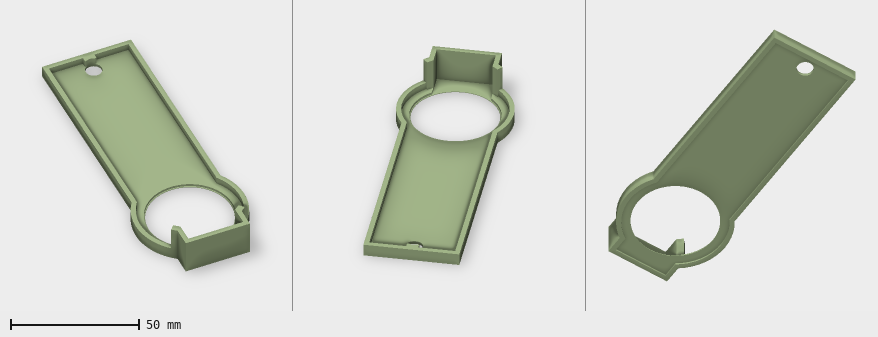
import cadquery as cq
import math

total_length = 124.75
total_height = 15.0
rim_height = 5.0
wall = 2.0

floor_top = 2.0
step_top = 1.0
recess_depth = 0.75

ring_radius = 23.13
step_radius = 18.0
opening_radius = 17.5

plate_width = 38.0
ring_to_box_end = 26.5
plate_end = ring_to_box_end - total_length

hole_diameter = 6.75
hole_x = plate_end + 6.875
tab_width = 4.9
tab_length = 4.0

box_width = 27.4
guard_inner_radius = 20.5
guard_half_angle = 42.75


def block(x_start, x_end, width, z_bottom, z_top):
    """Box centred on the X axis between the given X and Z limits."""
    body = cq.Workplane("XY").box(
        x_end - x_start, width, z_top - z_bottom, centered=(False, True, False)
    )
    return body.translate((x_start, 0, z_bottom))


def disc(radius, z_bottom, z_top):
    """Cylinder on the ring axis between two heights."""
    return cq.Workplane("XY", origin=(0, 0, z_bottom)).circle(radius).extrude(z_top - z_bottom)


def plate_and_ring(inset, z_bottom, z_top):
    """Solid of the plate joined to the ring, with its outline moved inward by the inset."""
    plate = block(plate_end + inset, 0, plate_width - 2 * inset, z_bottom, z_top)
    return plate.union(disc(ring_radius - inset, z_bottom, z_top))


def box_interior(z_bottom, z_top):
    """Space between the box walls, open toward the large opening."""
    return block(0, ring_to_box_end - wall, box_width - 2 * wall, z_bottom, z_top)


def tray():
    """Plate and ring, hollowed from above so that a rim surrounds the floor."""
    return plate_and_ring(0, 0, rim_height).cut(plate_and_ring(wall, floor_top, rim_height))


def guards():
    """Full-height sector of the ring; the box interior later splits it in two."""
    reach_x = 2 * ring_radius
    reach_y = reach_x * math.tan(math.radians(guard_half_angle))
    sector = (
        cq.Workplane("XY")
        .polyline([(0, 0), (reach_x, -reach_y), (reach_x, reach_y)])
        .close()
        .extrude(total_height)
    )
    band = disc(ring_radius, 0, total_height).cut(disc(guard_inner_radius, 0, total_height))
    return band.intersect(sector)


def raised_box():
    """Box at the ring end, still solid inside, joined to its guards."""
    body = block(0, ring_to_box_end, box_width, 0, total_height)
    body = body.cut(disc(guard_inner_radius, floor_top, total_height))
    return body.union(guards())


def hole_tab():
    """Rim-height tab reaching inward from the end wall to the hanging hole."""
    return block(plate_end, plate_end + tab_length, tab_width, 0, rim_height)


def underside_recess():
    """Shallow hollow under the floor that leaves a rim around the outline."""
    return plate_and_ring(wall, 0, recess_depth).union(box_interior(0, recess_depth))


def stepped_opening():
    """Large round opening with a shallow step around its upper edge."""
    opening = disc(opening_radius, 0, total_height)
    return opening.union(disc(step_radius, step_top, total_height))


def hanging_hole():
    """Round hole near the free end of the plate."""
    return cq.Workplane("XY", origin=(hole_x, 0, 0)).circle(hole_diameter / 2).extrude(rim_height)


result = tray().union(raised_box()).union(hole_tab())
result = result.cut(box_interior(step_top, total_height))
result = result.cut(underside_recess())
result = result.cut(stepped_opening())
result = result.cut(hanging_hole())